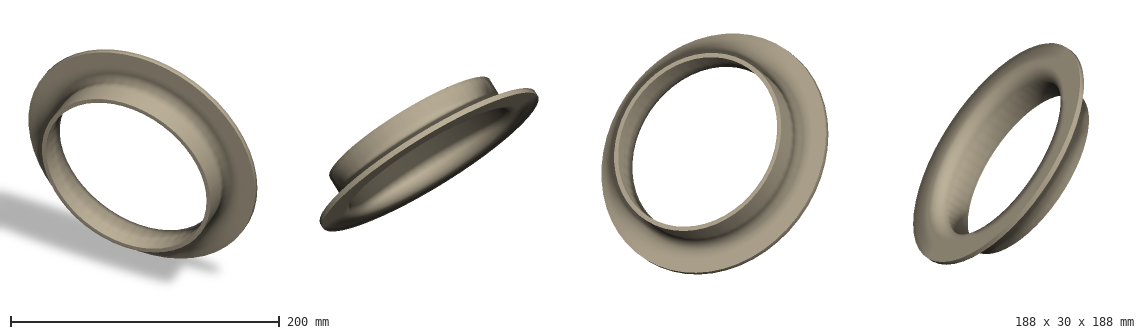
import cadquery as cq

flange_diameter = 188.0
flange_thickness = 4.0
tube_diameter = 139.9
bore_diameter = 133.1
total_length = 30.0
fillet_radius = 5.0
mouth_radius = fillet_radius + flange_thickness

flange_radius = flange_diameter / 2
tube_radius = tube_diameter / 2
bore_radius = bore_diameter / 2
tube_end = -total_length / 2
flange_back = total_length / 2
flange_front = flange_back - flange_thickness

fillet_end = (tube_radius + fillet_radius, flange_front)
mouth_end = (bore_radius, flange_back - mouth_radius)
section = (
    cq.Workplane("XY")
    .moveTo(bore_radius, tube_end)
    .lineTo(tube_radius, tube_end)
    .lineTo(tube_radius, flange_front - fillet_radius)
    .radiusArc(fillet_end, fillet_radius)
    .lineTo(flange_radius, flange_front)
    .lineTo(flange_radius, flange_back)
    .lineTo(bore_radius + mouth_radius, flange_back)
    .radiusArc(mouth_end, -mouth_radius)
    .close()
)

result = section.revolve(360, (0, 0, 0), (0, 1, 0))